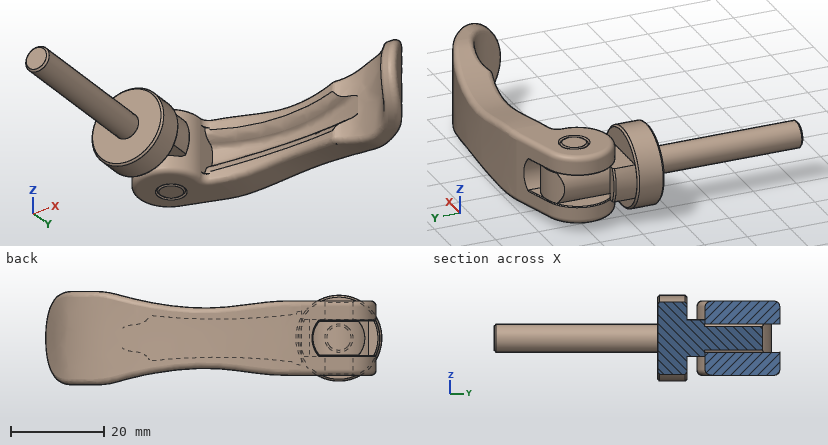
import cadquery as cq
import math


stud_radius = 3.0
stud_end_y = -52.15
stud_chamfer = 0.4
collar_radius = 9.2
collar_top_y = -10.9
collar_bottom_y = -17.2
collar_chamfer = 0.4
seat_radius = 8.7
seat_half_width = 3.95
seat_top_y = -5.7
seat_chamfer = 0.35
tongue_radius = 5.55
tongue_half_width = 3.6
tongue_end_radius = 7.2
pin_radius = 3.0
pin_chamfer = 0.35

cheek_half_width = 8.0
cam_radius = 8.0
cam_offset_y = -0.8
pocket_radius = 5.75
pocket_half_width = 3.7
pocket_chamfer = 0.2
pin_countersink = 0.35

arm_start = (8.05, 9.9)
arm_back = [(16.2, 11.0), (23.75, 11.45), (33.8, 10.7), (43.2, 9.0), (49.65, 6.8), (55.75, 3.5)]
tip_outer = (63.6, -10.1)
tip_outer_direction = (0.3, -1)
tip_inner = (59.6, -10.1)
thumb_pad = [(57.4, -4.25), (54.3, -0.65), (49.65, 1.7), (44.6, 2.45)]
lip_top = (25.2, 3.7)
lip_radius = 57.55
lip_end_x = 40.6
root_fillet = 1.8
dip_fillet = 1.45
edge_fillet = 1.2

shoulder_x = 10.8
waist = (25.9, 6.55)
flare = (46.05, 9.0)
pad_start_x = 51.8
pad_half_width = 10.0
tip_round_y = 0.7
tip_end_y = -8.8
tip_cut_start_x = 50.4

groove_slope = math.radians(65)
groove_lip_radius = 3.2
groove_floor_radius = 1.7
groove_lip_relief = 0.035
groove_floor_waist = 0.11
groove_floor_end = 1.45
groove_span = 18.7
groove_end_x = 47.5
groove_sections = 6

clear = 43.2


def disc(radius, y_top, y_bottom):
    """Cylinder about the stud axis."""
    return cq.Workplane("XZ", origin=(0, y_top, 0)).circle(radius).extrude(y_top - y_bottom)


def layer(half_width):
    """Wide plate of the given half thickness, centred on the XY plane."""
    return cq.Workplane("XY").box(4 * clear, 4 * clear, 2 * half_width)



def make_seat():
    """Flat-sided block with a trough in which the lever's cams turn."""
    seat = disc(seat_radius, seat_top_y, collar_top_y).faces(">Y").chamfer(seat_chamfer)
    cam = cq.Workplane("XY").center(0, cam_offset_y).circle(cam_radius).extrude(seat_half_width, both=True)
    return seat.intersect(layer(seat_half_width)).cut(cam)


def make_tongue():
    """Flat-sided stem that ends in a round about the pin axis."""
    stem = disc(tongue_radius, 0, collar_top_y)
    eye = disc(tongue_radius, tongue_end_radius, 0)
    eye = eye.intersect(cq.Workplane("XY").circle(tongue_end_radius).extrude(tongue_radius, both=True))
    return stem.union(eye).intersect(layer(tongue_half_width))


def make_clamp_stud():
    rod = disc(stud_radius, collar_bottom_y, stud_end_y).faces("<Y").chamfer(stud_chamfer)
    collar = disc(collar_radius, collar_top_y, collar_bottom_y).faces("<Y or >Y").chamfer(collar_chamfer)
    pin = cq.Workplane("XY").circle(pin_radius).extrude(cheek_half_width, both=True)
    pin = pin.faces("<Z or >Z").chamfer(pin_chamfer)
    return collar.union(rod).union(make_seat()).union(make_tongue()).union(pin)



def lip_y(x):
    """Y of the arm's inner edge, an arc about a centre below lip_top."""
    return lip_top[1] - lip_radius + math.sqrt(lip_radius**2 - (x - lip_top[0]) ** 2)


def cam_point(angle):
    return (cam_radius * math.cos(angle), cam_offset_y + cam_radius * math.sin(angle))


def edges_at(body, x, y):
    """The edge along Z that stands at (x, y)."""
    reach = 0.2
    corner = cq.selectors.BoxSelector((x - reach, y - reach, -reach), (x + reach, y + reach, reach))
    return body.edges("|Z").edges(corner)


def profile_prism():
    """Cam and curved arm, as a prism along Z."""
    rise = arm_start[1] - cam_offset_y
    tangent_angle = math.atan2(rise, arm_start[0]) + math.acos(cam_radius / math.hypot(arm_start[0], rise))
    back_direction = (math.sin(tangent_angle), -math.cos(tangent_angle))
    root = (cam_radius, lip_y(cam_radius))
    dip = (lip_end_x, lip_y(lip_end_x))
    prism = (
        cq.Workplane("XY", origin=(0, 0, -clear))
        .moveTo(*cam_point(tangent_angle))
        .lineTo(*arm_start)
        .spline([*arm_back, tip_outer], tangents=[back_direction, tip_outer_direction], includeCurrent=True)
        .lineTo(*tip_inner)
        .spline([*thumb_pad, dip], includeCurrent=True)
        .threePointArc(lip_top, root)
        .lineTo(*cam_point(0))
        .threePointArc(cam_point(tangent_angle / 2 - math.pi), cam_point(tangent_angle))
        .close()
        .extrude(2 * clear)
    )
    prism = edges_at(prism, *root).fillet(root_fillet)
    return edges_at(prism, *dip).fillet(dip_fillet)


def width_prism():
    """Waisted outline of the lever in the XZ plane, as a prism along Y."""
    pad = (pad_start_x, pad_half_width)
    return (
        cq.Workplane("XZ", origin=(0, clear, 0))
        .moveTo(-2 * cam_radius, -cheek_half_width)
        .lineTo(shoulder_x, -cheek_half_width)
        .spline(
            [(waist[0], -waist[1]), (flare[0], -flare[1]), (pad[0], -pad[1])],
            tangents=[(1, 0), (1, 0)],
            includeCurrent=True,
        )
        .lineTo(2 * clear, -pad_half_width)
        .lineTo(2 * clear, pad_half_width)
        .lineTo(*pad)
        .spline(
            [flare, waist, (shoulder_x, cheek_half_width)],
            tangents=[(-1, 0), (-1, 0)],
            includeCurrent=True,
        )
        .lineTo(-2 * cam_radius, cheek_half_width)
        .close()
        .extrude(2 * clear)
    )


def tip_cutter():
    """Space below tip_round_y outside the half ellipse that rounds the tip in the YZ plane."""
    block_centre = (tip_cut_start_x + clear / 2, tip_round_y - clear / 2, 0)
    block = cq.Workplane("XY").box(clear, clear, clear).translate(block_centre)
    ellipse = (
        cq.Workplane("YZ")
        .center(tip_round_y, 0)
        .ellipse(tip_round_y - tip_end_y, pad_half_width)
        .extrude(3 * clear)
    )
    return block.cut(ellipse)


def groove_section(x):
    """Groove outline across the arm at x: rounded lips that flow into a filleted flat floor."""
    widening = ((x - waist[0]) / groove_span) ** 2
    floor_half = groove_floor_waist + (groove_floor_end - groove_floor_waist) * widening
    lip_half = floor_half + (groove_lip_radius + groove_floor_radius) * math.sin(groove_slope)
    lip = lip_y(x) - groove_lip_relief
    floor = lip + (groove_lip_radius + groove_floor_radius) * (1 - math.cos(groove_slope))
    outside = 2 * lip - floor

    def on_lip(angle):
        y = lip + groove_lip_radius * (1 - math.cos(angle))
        return y, lip_half - groove_lip_radius * math.sin(angle)

    def on_floor_fillet(angle):
        y = floor - groove_floor_radius * (1 - math.cos(angle))
        return y, floor_half + groove_floor_radius * math.sin(angle)

    def mirrored(point):
        return point[0], -point[1]

    turn = on_lip(groove_slope)
    lip_mid = on_lip(groove_slope / 2)
    fillet_mid = on_floor_fillet(groove_slope / 2)
    return (
        cq.Workplane("YZ", origin=(x, 0, 0))
        .moveTo(outside, -lip_half)
        .lineTo(lip, -lip_half)
        .threePointArc(mirrored(lip_mid), mirrored(turn))
        .threePointArc(mirrored(fillet_mid), (floor, -floor_half))
        .lineTo(floor, floor_half)
        .threePointArc(fillet_mid, turn)
        .threePointArc(lip_mid, (lip, lip_half))
        .lineTo(outside, lip_half)
        .close()
        .val()
    )


def make_groove():
    step = (groove_end_x - cam_radius) / (groove_sections - 1)
    sections = [groove_section(cam_radius + i * step) for i in range(groove_sections)]
    return cq.Workplane(cq.Solid.makeLoft(sections))


def make_pocket():
    """Slot for the tongue: round on the arm side, open on the far side."""
    opening = cq.Workplane("XY").box(clear, 2 * clear, 2 * pocket_radius).translate((-clear / 2, 0, 0))
    return disc(pocket_radius, clear, -clear).union(opening).intersect(layer(pocket_half_width))


def break_pocket_edges(body):
    """Chamfer the edges where the pocket walls meet the rim of the cheeks."""
    band = 0.1
    for z in (-pocket_half_width, pocket_half_width):
        at_wall = cq.selectors.BoxSelector((-clear, -clear, z - band), (clear, clear, z + band))
        body = body.edges(at_wall).edges("not |Y").chamfer(pocket_chamfer)
    return body


def make_pin_bore():
    """Hole through both cheeks with a countersink at each end."""
    bore = cq.Workplane("XY").circle(pin_radius).extrude(cheek_half_width, both=True)
    for side in (-1, 1):
        cone = cq.Solid.makeCone(
            pin_radius + pin_countersink,
            pin_radius,
            pin_countersink,
            pnt=cq.Vector(0, 0, side * cheek_half_width),
            dir=cq.Vector(0, 0, -side),
        )
        bore = bore.union(cq.Workplane(cone))
    return bore


def make_lever():
    body = profile_prism().intersect(width_prism()).cut(tip_cutter())
    body = body.edges("not |Z").fillet(edge_fillet)
    body = break_pocket_edges(body.cut(make_pocket()))
    return body.cut(make_groove()).cut(make_pin_bore())


lever = make_lever()
clamp_stud = make_clamp_stud()
result = cq.Compound.makeCompound([lever.solids().val(), clamp_stud.solids().val()])